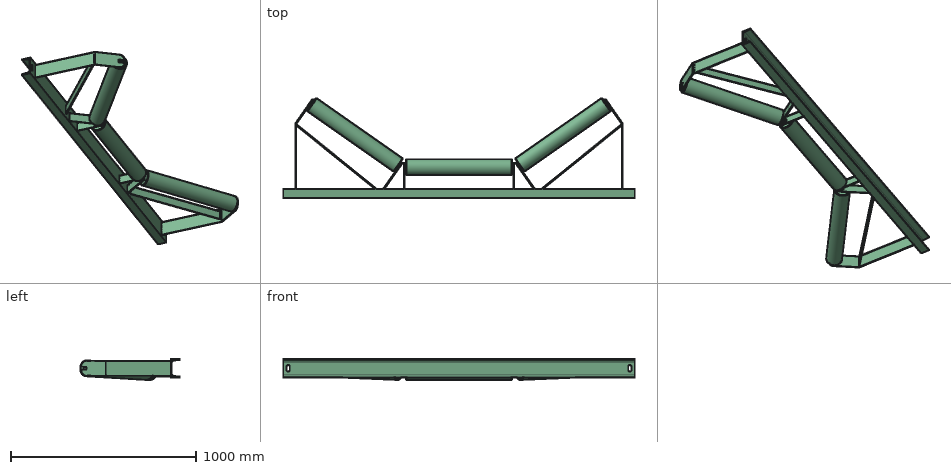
import cadquery as cq
import math


BEAM_LENGTH = 1900.0
BEAM_HEIGHT = 100.0
BEAM_DEPTH = 50.0
WEB_THICKNESS = 6.0
FLANGE_THICKNESS = 8.5
FLANGE_SLOPE = 0.08
FLANGE_ROOT_RADIUS = 8.5
FLANGE_TIP_RADIUS = 4.5
SLOT_WIDTH = 17.0
SLOT_HEIGHT = 35.0
SLOT_FROM_END = 27.0

ROLLER_RADIUS = 44.0
ROLLER_LENGTH = 574.0
ROLLER_CHAMFER = 4.0
SHAFT_RADIUS = 8.5
CENTRE_ROLLER_Y = 118.0
SIDE_ROLLER_X = 562.0
SIDE_ROLLER_Y = 293.0
TROUGH_ANGLE = 35.0
FORWARD_TILT = 2.0

PLATE_THICKNESS = 6.0
PLATE_GAP = 5.0
OUTER_WIDTH = 80.0
OUTER_PLATE_X = 885.0
OUTER_TIP = 27.0
OUTER_TIP_RADIUS = 28.0
INNER_WIDTH = 50.0
INNER_TOP_Y = 142.0
STRUT_WIDTH = 50.0
STRUT_FOOT_X = 445.0

TROUGH_SIN = math.sin(math.radians(TROUGH_ANGLE))
TROUGH_COS = math.cos(math.radians(TROUGH_ANGLE))
TROUGH_TAN = TROUGH_SIN / TROUGH_COS

PLATE_OFFSET = ROLLER_LENGTH / 2 + PLATE_GAP + PLATE_THICKNESS / 2
SHAFT_LENGTH = 2 * PLATE_OFFSET + PLATE_THICKNESS

SIDE_ROLLER_Z = -PLATE_OFFSET * math.sin(math.radians(FORWARD_TILT))
CENTRE_ROLLER_Z = 2 * SIDE_ROLLER_Z


def place_side(shape):
    """Move a shape from the roller's own frame, with its axis on X, to the left side roller."""
    return (
        shape.rotate((0, 0, 0), (0, 1, 0), FORWARD_TILT)
        .rotate((0, 0, 0), (0, 0, 1), -TROUGH_ANGLE)
        .translate((-SIDE_ROLLER_X, SIDE_ROLLER_Y, SIDE_ROLLER_Z))
    )


def place_centre(shape):
    return shape.translate((0, CENTRE_ROLLER_Y, CENTRE_ROLLER_Z))


def side_point(along, above):
    """X, Y of a point given along the left side roller's axis and square to it."""
    return (
        -SIDE_ROLLER_X + along * TROUGH_COS + above * TROUGH_SIN,
        SIDE_ROLLER_Y - along * TROUGH_SIN + above * TROUGH_COS,
    )


def centred_cylinder(radius, length):
    """Cylinder on the X axis with its middle at the origin."""
    return cq.Workplane("YZ", origin=(-length / 2, 0, 0)).circle(radius).extrude(length)


def shaft():
    return centred_cylinder(SHAFT_RADIUS, SHAFT_LENGTH)


def shaft_slot(height):
    """Cutter for a round-bottomed slot that holds the shaft and is open towards +Y."""
    opening = cq.Workplane("XY").box(
        SHAFT_LENGTH, height, 2 * SHAFT_RADIUS, centered=(True, False, True)
    )
    return shaft().union(opening)


def plate(outline, width):
    return cq.Workplane("XY").polyline(outline).close().extrude(width / 2, both=True)


def fillet_edge_at(body, point, radius):
    """Round the edge whose middle is nearest to the point."""
    return body.edges(cq.selectors.NearestToPointSelector(point)).fillet(radius)


def make_beam():
    half = BEAM_HEIGHT / 2
    taper = FLANGE_SLOPE * BEAM_DEPTH / 2
    tip_z = half - FLANGE_THICKNESS + taper
    root_z = half - FLANGE_THICKNESS - taper + FLANGE_SLOPE * WEB_THICKNESS
    outline = [
        (0, half),
        (-BEAM_DEPTH, half),
        (-BEAM_DEPTH, tip_z),
        (-WEB_THICKNESS, root_z),
        (-WEB_THICKNESS, -root_z),
        (-BEAM_DEPTH, -tip_z),
        (-BEAM_DEPTH, -half),
        (0, -half),
    ]
    beam = cq.Workplane("YZ").polyline(outline).close().extrude(BEAM_LENGTH / 2, both=True)
    for side in (1, -1):
        beam = fillet_edge_at(beam, (0, -WEB_THICKNESS, side * root_z), FLANGE_ROOT_RADIUS)
        beam = fillet_edge_at(beam, (0, -BEAM_DEPTH, side * tip_z), FLANGE_TIP_RADIUS)

    slot_x = BEAM_LENGTH / 2 - SLOT_FROM_END
    slots = (
        cq.Workplane("XZ")
        .pushPoints([(-slot_x, 0), (slot_x, 0)])
        .slot2D(SLOT_HEIGHT, SLOT_WIDTH, angle=90)
        .extrude(WEB_THICKNESS)
    )
    return beam.cut(slots)


def make_roller():
    """Shell and shaft, with the axis on X and the middle at the origin."""
    shell = centred_cylinder(ROLLER_RADIUS, ROLLER_LENGTH).faces("<X or >X").chamfer(ROLLER_CHAMFER)
    return shell.union(shaft())


OUTER_FOLD_Y = (
    SIDE_ROLLER_Y
    + (PLATE_OFFSET + PLATE_THICKNESS / 2) / TROUGH_SIN
    - (OUTER_PLATE_X - SIDE_ROLLER_X) / TROUGH_TAN
)
INNER_FACE_X = OUTER_PLATE_X - PLATE_THICKNESS
INNER_FOLD_Y = OUTER_FOLD_Y - PLATE_THICKNESS * math.tan(math.radians(TROUGH_ANGLE / 2))


def make_outer_bracket():
    outer_tip = side_point(-PLATE_OFFSET - PLATE_THICKNESS / 2, OUTER_TIP)
    inner_tip = side_point(-PLATE_OFFSET + PLATE_THICKNESS / 2, OUTER_TIP)
    bracket = plate(
        [
            (-OUTER_PLATE_X, 0),
            (-OUTER_PLATE_X, OUTER_FOLD_Y),
            outer_tip,
            inner_tip,
            (-INNER_FACE_X, INNER_FOLD_Y),
            (-INNER_FACE_X, 0),
        ],
        OUTER_WIDTH,
    )
    tip = side_point(-PLATE_OFFSET, OUTER_TIP)
    for z in (-OUTER_WIDTH / 2, OUTER_WIDTH / 2):
        bracket = fillet_edge_at(bracket, (*tip, z), OUTER_TIP_RADIUS)
    return bracket.cut(place_side(shaft_slot(2 * OUTER_TIP)))


def make_strut():
    angle = math.atan2(INNER_FOLD_Y, INNER_FACE_X - STRUT_FOOT_X)
    return plate(
        [
            (-INNER_FACE_X, INNER_FOLD_Y),
            (-STRUT_FOOT_X, 0),
            (-STRUT_FOOT_X - PLATE_THICKNESS / math.sin(angle), 0),
            (-INNER_FACE_X, INNER_FOLD_Y - PLATE_THICKNESS / math.cos(angle)),
        ],
        STRUT_WIDTH,
    )


def sloping_leg_x(along, y):
    """X at height y on the plane that crosses the side roller's axis at the given place."""
    return -SIDE_ROLLER_X + along / TROUGH_COS + (y - SIDE_ROLLER_Y) * TROUGH_TAN


def make_inner_bracket():
    under_top = INNER_TOP_Y - PLATE_THICKNESS
    roller_face = PLATE_OFFSET - PLATE_THICKNESS / 2
    back_face = PLATE_OFFSET + PLATE_THICKNESS / 2
    bracket = plate(
        [
            (-roller_face, 0),
            (-roller_face, INNER_TOP_Y),
            (sloping_leg_x(roller_face, INNER_TOP_Y), INNER_TOP_Y),
            (sloping_leg_x(roller_face, 0), 0),
            (sloping_leg_x(back_face, 0), 0),
            (sloping_leg_x(back_face, under_top), under_top),
            (-back_face, under_top),
            (-back_face, 0),
        ],
        INNER_WIDTH,
    ).translate((0, 0, CENTRE_ROLLER_Z))
    slot_height = 2 * (INNER_TOP_Y - CENTRE_ROLLER_Y)
    bracket = bracket.cut(place_centre(shaft_slot(slot_height)))
    return bracket.cut(place_side(shaft_slot(slot_height)))


beam = make_beam()
centre_roller = place_centre(make_roller())
side_bodies = [place_side(make_roller()), make_outer_bracket(), make_strut(), make_inner_bracket()]

bodies = [beam.val(), centre_roller.val()]
for body in side_bodies:
    bodies.append(body.val())
    bodies.append(body.mirror("YZ").val())

result = cq.Compound.makeCompound(bodies)